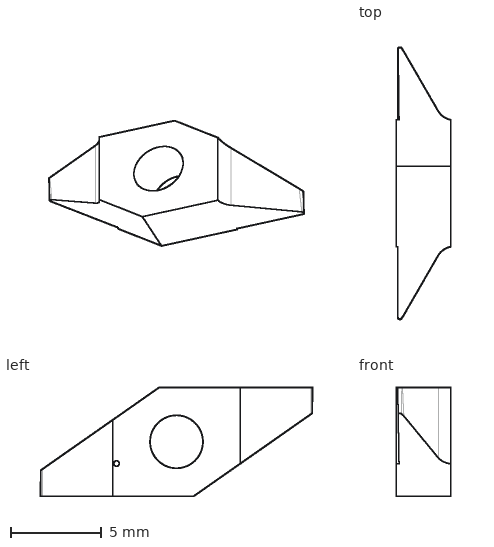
import cadquery as cq
import math

thickness = 3.0
length = 15.0
height = 6.0
half_thickness = thickness / 2
half_length = length / 2
half_height = height / 2

flat_overrun = 0.95
slope_angle = 35.0

shoulder_y = 3.5
side_step = 0.08
root_radius = 1.0
root_start_angle = 10.0
flank_angle = 30.0
nose_radius = 0.12
nose_flank_angle = 40.0
relief_angle = 1.0

hole_diameter = 2.9
dimple_diameter = 0.3
dimple_y = 3.3
dimple_z = -1.2

wing_side_x = -half_thickness + side_step


def outline_prism():
    """Six-sided side outline, extruded through the full thickness."""
    drop = (half_length - flat_overrun) * math.tan(math.radians(slope_angle))
    end_z = half_height - drop
    corners = [
        (-half_length, half_height),
        (flat_overrun, half_height),
        (half_length, end_z),
        (half_length, -half_height),
        (-flat_overrun, -half_height),
        (-half_length, -end_z),
    ]
    return cq.Workplane("YZ").polyline(corners).close().extrude(half_thickness, both=True)


def flank_prism():
    """Upright wing with the concave root and straight flank on its +X side."""
    angle = math.radians(flank_angle)
    root_start = math.radians(root_start_angle)
    root_end = math.pi / 2 - angle
    root_center = (
        half_thickness + root_radius * math.sin(root_start),
        -shoulder_y - root_radius * math.cos(root_start),
    )

    def root_point(from_y_axis):
        return (
            root_center[0] - root_radius * math.sin(from_y_axis),
            root_center[1] + root_radius * math.cos(from_y_axis),
        )

    flank_start = root_point(root_end)
    flank_end_x = flank_start[0] - (half_length + flank_start[1]) * math.tan(angle)
    return (
        cq.Workplane("XY", origin=(0, 0, -half_height))
        .moveTo(-half_thickness, -shoulder_y)
        .lineTo(half_thickness, -shoulder_y)
        .threePointArc(root_point((root_start + root_end) / 2), flank_start)
        .lineTo(flank_end_x, -half_length)
        .lineTo(-half_thickness, -half_length)
        .close()
        .extrude(height)
    )


def nose_prism():
    """Rounded nose and -X side, narrowing downward from the cutting edge by the relief angle."""
    angle = math.radians(nose_flank_angle)
    center = (wing_side_x + nose_radius, -half_length + nose_radius)
    tangent = (
        center[0] + nose_radius * math.cos(angle),
        center[1] - nose_radius * math.sin(angle),
    )
    arc_middle = (
        center[0] - nose_radius * math.sin(angle / 2),
        center[1] - nose_radius * math.cos(angle / 2),
    )
    far_x = thickness
    far_y = tangent[1] + (far_x - tangent[0]) / math.tan(angle)
    return (
        cq.Workplane("XY", origin=(0, 0, half_height))
        .moveTo(wing_side_x, 0)
        .lineTo(wing_side_x, center[1])
        .threePointArc(arc_middle, tangent)
        .lineTo(far_x, far_y)
        .lineTo(far_x, 0)
        .close()
        .extrude(-height, taper=relief_angle)
    )


def body_block():
    return cq.Workplane("XY").box(thickness, 2 * shoulder_y, height)


def mounting_hole():
    start = cq.Workplane("YZ", origin=(-half_thickness, 0, 0))
    return start.circle(hole_diameter / 2).extrude(thickness)


def dimple():
    """Round-bottomed marking dimple on the -X face."""
    ball = cq.Workplane("XY").sphere(dimple_diameter / 2)
    ball = ball.rotate((0, 0, 0), (0, 1, 0), 90)
    return ball.translate((-half_thickness, dimple_y, dimple_z))


wing = flank_prism().intersect(nose_prism())
opposite_wing = wing.rotate((0, 0, 0), (1, 0, 0), 180)

blank = body_block().union(wing).union(opposite_wing)
result = blank.intersect(outline_prism()).cut(mounting_hole()).cut(dimple())